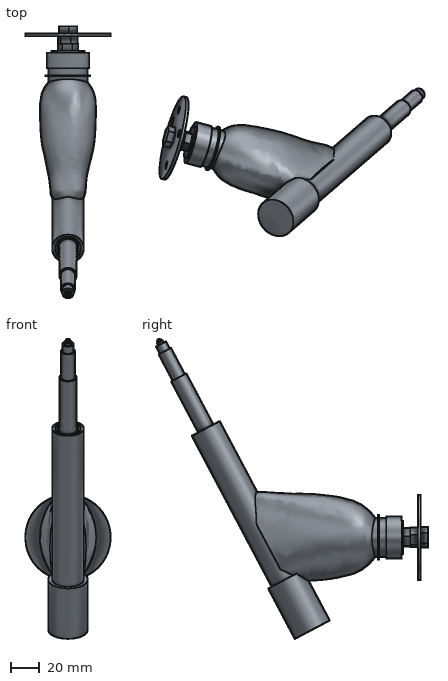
import cadquery as cq
import math


plate_radius = 30.03
plate_back = 5.0
plate_thickness = 2.1
plate_front = plate_back + plate_thickness
hole_radius = 2.7
hole_circle_radius = 20.2
hole_angles = (45, 90, 135, 225, 315)

hex_corner_radius = 7.27
stud_turn = 4
nut_turn = 15
lock_nut_turn = 25
nut_front = 12.5

washer_back = 17.3
washer_radius = 11.8
ring_back = 18.5
ring_radius = 15.0
neck_back = 29.3
neck_radius = 14.0
neck_front = 39.5
flange_back = 34.3
flange_thickness = 0.8
flange_radius = 15.8

handle_sections = (
    (35.8, 11.4, 12.5, 2.0),
    (39.5, 14.0, 16.6, 2.0),
    (46.4, 18.1, 22.8, 2.0),
    (58.0, 19.8, 27.5, 2.0),
    (75.9, 19.2, 30.1, 2.1),
    (94.8, 15.8, 31.0, 2.4),
    (107.5, 13.0, 31.5, 2.9),
    (121.4, 10.7, 31.6, 3.3),
)
section_points = 24

arm_lean = 27.9
arm_crossing = 115.5
arm_below_crossing = 73.3
sleeve_radius = 14.0
sleeve_top = 40.0
pipe_radius = 11.2
pipe_top = 159.7
rod_steps = ((6.1, 200.2), (4.95, 221.0), (4.0, 226.7), (2.3, 228.5), (1.7, 229.7), (1.0, 230.5))

mouth_radius = 9.0
mouth_depth = 0.6
clearance_radius = 7.4
clearance_depth = 4.2


def mount_plane(distance):
    """Sketch plane across the mounting axis, at a distance from the stud end."""
    return cq.Workplane("XZ").workplane(offset=distance)


def mount_disc(radius, back, front):
    return mount_plane(back).circle(radius).extrude(front - back)


def mount_hexagon(turn, back, front):
    corners = []
    for index in range(6):
        angle = math.radians(60 * index + turn)
        corners.append((hex_corner_radius * math.sin(angle), hex_corner_radius * math.cos(angle)))
    return mount_plane(back).polyline(corners).close().extrude(front - back)


def make_plate():
    holes = [
        (hole_circle_radius * math.cos(math.radians(angle)), hole_circle_radius * math.sin(math.radians(angle)))
        for angle in hole_angles
    ]
    cutters = mount_plane(plate_back).pushPoints(holes).circle(hole_radius).extrude(plate_thickness)
    return mount_disc(plate_radius, plate_back, plate_front).cut(cutters)


def make_mount():
    return (
        make_plate()
        .union(mount_hexagon(stud_turn, 0, plate_front))
        .union(mount_hexagon(nut_turn, plate_front, nut_front))
        .union(mount_hexagon(lock_nut_turn, nut_front, washer_back))
        .union(mount_disc(washer_radius, washer_back, ring_back))
        .union(mount_disc(ring_radius, ring_back, neck_back))
        .union(mount_disc(neck_radius, neck_back, neck_front))
        .union(mount_disc(flange_radius, flange_back, flange_back + flange_thickness))
    )


lean_y = -math.sin(math.radians(arm_lean))
lean_z = math.cos(math.radians(arm_lean))
arm_base = (0, -arm_crossing - arm_below_crossing * lean_y, -arm_below_crossing * lean_z)
arm_frame = cq.Plane(origin=arm_base, xDir=(1, 0, 0), normal=(0, lean_y, lean_z))


def arm_cylinder(radius, bottom, top):
    return cq.Workplane(arm_frame).workplane(offset=bottom).circle(radius).extrude(top - bottom)


def make_arm():
    mouth = arm_cylinder(mouth_radius, pipe_top - mouth_depth, pipe_top)
    clearance_bottom = pipe_top - clearance_depth
    clearance = arm_cylinder(clearance_radius, clearance_bottom, pipe_top)
    arm = arm_cylinder(sleeve_radius, 0, sleeve_top)
    arm = arm.union(arm_cylinder(pipe_radius, sleeve_top, pipe_top)).cut(mouth).cut(clearance)
    bottom = clearance_bottom
    for radius, top in rod_steps:
        arm = arm.union(arm_cylinder(radius, bottom, top))
        bottom = top
    return arm


def handle_section(distance, half_width, half_height, exponent):
    """Closed superellipse wire; an exponent of 2 gives a plain ellipse."""
    outline = []
    for index in range(section_points):
        angle = 2 * math.pi * index / section_points
        across = math.copysign(abs(math.cos(angle)) ** (2 / exponent), math.cos(angle))
        upward = math.copysign(abs(math.sin(angle)) ** (2 / exponent), math.sin(angle))
        outline.append((half_width * across, half_height * upward))
    return mount_plane(distance).spline(outline, periodic=True).wire().val()


def make_handle():
    """Smooth loft along the mounting axis, trimmed where it passes the arm axis."""
    wires = [handle_section(*section) for section in handle_sections]
    handle = cq.Workplane(cq.Solid.makeLoft(wires))
    trim_size = 4 * plate_radius
    beyond_arm = (
        cq.Workplane(arm_frame)
        .center(0, -trim_size / 2)
        .rect(trim_size, trim_size)
        .extrude(pipe_top)
    )
    return handle.cut(beyond_arm)


result = make_mount().union(make_handle()).union(make_arm())